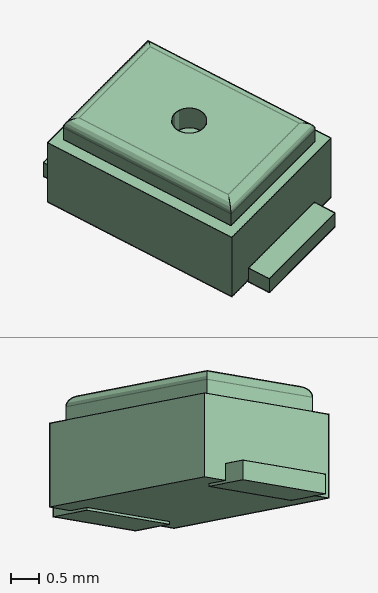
import cadquery as cq

overall_length = 4.89
overall_height = 2.05

body_length = 3.99
body_width = 3.0
body_height = 1.5
standoff = 0.05
body_top = standoff + body_height

cap_length = 3.63
cap_width = 2.55
cap_height = overall_height - body_top
cap_radius = 0.2
hole_diameter = 0.615
hole_depth = cap_height

lead_length = 0.875
lead_width = 1.985
lead_height = 0.35


def block(length, width, height, bottom, center_x=0):
    """Box centred on Y, resting on the given bottom level."""
    box = cq.Workplane("XY").box(length, width, height, centered=(True, True, False))
    return box.translate((center_x, 0, bottom))


body = block(body_length, body_width, body_height, standoff)

cap = block(cap_length, cap_width, cap_height, body_top)
cap = cap.faces(">Z").edges().fillet(cap_radius)

result = body.union(cap)

for side in (-1, 1):
    lead_center = side * (overall_length - lead_length) / 2
    result = result.union(block(lead_length, lead_width, lead_height, 0, lead_center))

result = result.faces(">Z").workplane(origin=(0, 0, overall_height)).hole(hole_diameter, hole_depth)